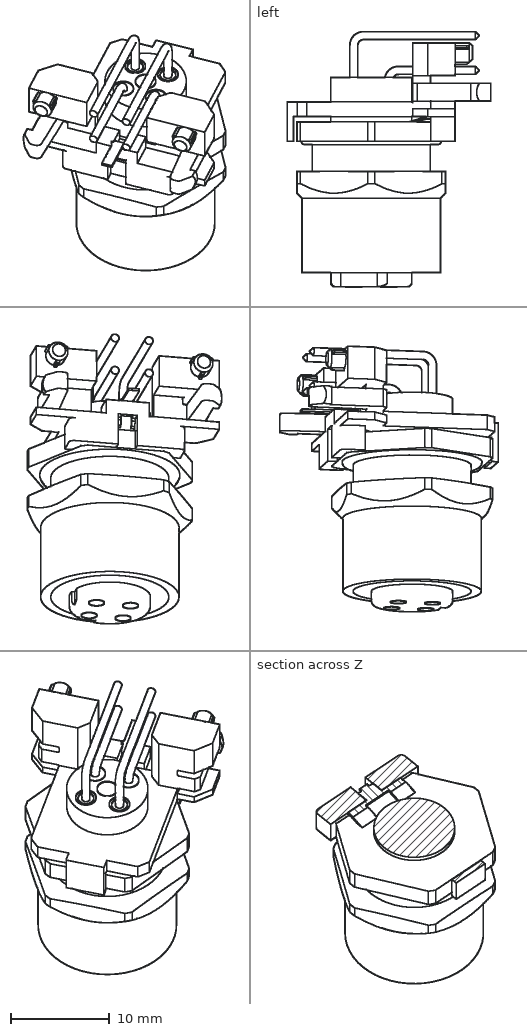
import cadquery as cq
import math


PLUG_BOTTOM = 0.05
SLEEVE_BOTTOM = 1.5
CONE_BOTTOM = 9.03
NUT_TOP = 11.79
COLLAR_BOTTOM = 14.49
FLANGE_BOTTOM = 14.82
FLANGE_TOP = 16.8
PLATE_BOTTOM = 17.32
WING_TOP = 18.12
PLATE_TOP = 18.82
TONGUE_TOP = 19.6
CORE_TOP = 21.31
BLOCK_BOTTOM = 21.5
BLOCK_TOP = 24.82
OVERALL_TOP = 25.95

CORE_RADIUS = 4.13
PLUG_FILLET = 0.47
NECK_RADIUS = 6.0
HEX_HALF_FLATS = 7.55
HEX_CORNER_RADIUS = 8.51
COLLAR_RADIUS = 7.11
KEYWAYS = [(-3.8, -1.64, -0.6), (-0.78, 3.12, CORE_RADIUS)]

PIN_RADIUS = 0.42
PIN_OFFSET = 1.77
PIN_BEND_RADIUS = 0.99
PIN_TIP_Y = -10.98
PIN_UPPER_Z = OVERALL_TOP - PIN_RADIUS
SOCKET_RADIUS = 1.05
CONTACT_RADIUS = 0.8
SOCKET_STEP = 0.1

SLEEVE_RADIUS = 7.04
NUT_FACE_RADIUS = 7.27
NUT_FACE_DROP = 0.08

HALF_WIDTH = 9.5
FRONT_Y = -8.51
STEP_Y = -6.02
WING_BACK_Y = -4.2
PLATE_HALF_WIDTH = 6.23
PLATE_BACK_Y = 7.5
PLATE_CHAMFER = 0.95
TAB_HALF_WIDTH = 2.0
TAB_BACK_Y = 8.55
TAB_THICKNESS = 0.67
BLOCK_INNER_X = 3.25
BLOCK_OUTER_CHAMFER = 1.53
BLOCK_INNER_CHAMFER = 1.0
COLUMN_FILLET = 0.18
APRON_HALF_WIDTH = 6.0
APRON_FILLET = 0.52
TONGUE_HALF_WIDTH = 2.23
SLOT_HALF_WIDTH = 0.99

PEG_X = 7.53
PEG_Z = 23.83
PEG_RADIUS = 0.99
PEG_RIB_RADIUS = 1.2
PEG_RIB_TIP_WIDTH = 0.23
PEG_RIB_ROOT_WIDTH = 1.15
PEG_RIB_CHAMFER = 0.57
PEG_END_Y = -10.28
PEG_CHAMFER = 0.3

LATCH_BOTTOM = 18.9
LATCH_TOP = 20.72
LATCH_ROOT_X = (BLOCK_INNER_X + PLATE_HALF_WIDTH) / 2
LATCH_OUTER_X = 8.51
LATCH_INNER_X = 6.67
LATCH_TIP_INNER_X = 6.98
LATCH_TIP_OUTER_X = 8.07
LATCH_TIP_Y = -12.15
LATCH_TIP_ROUND = 0.5
LATCH_BACK_CHAMFER = 0.47
HOOK_X = 9.3
HOOK_BACK_Y = -10.12
HOOK_FRONT_Y = -10.7
HOOK_CROWN = 0.23

SPRING_THICKNESS = 0.23
SPRING_HALF_WIDTH = 0.55
SPRING_TAIL_Y = -11.45
SPRING_LEG_Y = -7.85
SPRING_BEND = 0.45
SPRING_FOOT_Z = PLATE_BOTTOM - SPRING_THICKNESS
SPRING_BARB_HALF_WIDTH = 0.75
SPRING_BARB_LENGTH = 0.45
SPRING_RAMP_START_Y = -5.58
SPRING_RAMP_END_Y = -4.62
SPRING_ARM_HALF_WIDTH = 3.63
SPRING_ARM_INNER_X = 1.55

GROOVE_HALF_WIDTH = 0.6
GROOVE_FLOOR = 18.43
SLOT_RELIEF = 0.52


def box(x0, x1, y0, y1, z0, z1):
    """Axis-aligned box between two opposite corners."""
    return cq.Workplane("XY").box(x1 - x0, y1 - y0, z1 - z0, centered=False).translate((x0, y0, z0))


def cylinder(radius, z0, z1):
    """Cylinder on the connector axis."""
    return cq.Workplane("XY").workplane(offset=z0).circle(radius).extrude(z1 - z0)


def both_sides(body):
    """A body joined with its mirror image across the YZ plane."""
    return body.union(body.mirror("YZ"))


def hexagon(z0, z1):
    """Hexagonal prism with flats facing -Y and +Y and its corners turned down."""
    across_corners = 2 * HEX_HALF_FLATS / math.cos(math.pi / 6)
    prism = cq.Workplane("XY").workplane(offset=z0).polygon(6, across_corners).extrude(z1 - z0)
    return prism.intersect(cylinder(HEX_CORNER_RADIUS, z0, z1))



def make_pin(x, y, axis_z):
    """Pin rising from the core, bent toward -Y and ending in a point."""
    bend_y = y - PIN_BEND_RADIUS
    bend_z = axis_z - PIN_BEND_RADIUS
    diagonal = PIN_BEND_RADIUS * (1 - math.sqrt(0.5))
    shank_end_y = PIN_TIP_Y + PIN_RADIUS
    root_z = CORE_TOP - 2 * SOCKET_STEP - PIN_BEND_RADIUS
    path = (
        cq.Workplane("YZ", origin=(x, 0, 0))
        .moveTo(y, root_z)
        .lineTo(y, bend_z)
        .threePointArc((y - diagonal, axis_z - diagonal), (bend_y, axis_z))
        .lineTo(shank_end_y, axis_z)
    )
    shank = cq.Workplane("XY", origin=(x, y, root_z)).circle(PIN_RADIUS).sweep(path)
    point = cq.Solid.makeCone(
        PIN_RADIUS, 0, PIN_RADIUS, cq.Vector(x, shank_end_y, axis_z), cq.Vector(0, -1, 0)
    )
    return shank.union(cq.Workplane(obj=point))


def recess(x, y, radius, depth):
    """Cutter for a round recess in the top of the core."""
    return cq.Workplane("XY", origin=(x, y, CORE_TOP - depth)).circle(radius).extrude(depth)


def contact_end(x, y):
    """End of a contact sleeve, standing slightly out of the plug."""
    return cq.Workplane("XY").center(x, y).circle(CONTACT_RADIUS).extrude(SLEEVE_BOTTOM)


def make_connector():
    """Core, plug, threaded neck, hexagonal flange and the four contact pins."""
    core = cylinder(CORE_RADIUS, PLUG_BOTTOM, CORE_TOP).faces("<Z").edges().fillet(PLUG_FILLET)
    for floor_x, y0, y1 in KEYWAYS:
        core = core.cut(box(-CORE_RADIUS, floor_x, y0, y1, PLUG_BOTTOM, SLEEVE_BOTTOM))
    neck = cylinder(NECK_RADIUS, SLEEVE_BOTTOM, FLANGE_BOTTOM)
    collar = cylinder(COLLAR_RADIUS, COLLAR_BOTTOM, FLANGE_TOP)
    collar = collar.faces("<Z").edges().fillet(FLANGE_BOTTOM - COLLAR_BOTTOM)
    body = core.union(neck).union(collar).union(hexagon(FLANGE_BOTTOM, FLANGE_TOP))
    body = body.cut(recess(0, 0, SOCKET_RADIUS, SOCKET_STEP))
    for x in (-PIN_OFFSET, PIN_OFFSET):
        for y in (-PIN_OFFSET, PIN_OFFSET):
            body = body.cut(recess(x, y, SOCKET_RADIUS, SOCKET_STEP))
            body = body.union(contact_end(x, y))
        body = body.cut(recess(x, PIN_OFFSET, CONTACT_RADIUS, 2 * SOCKET_STEP))
        body = body.union(make_pin(x, PIN_OFFSET, PIN_UPPER_Z))
        body = body.union(make_pin(x, -PIN_OFFSET, PIN_UPPER_Z - 2 * PIN_OFFSET))
    return body



def make_nut():
    """Long sleeve below a hexagon that is coned at both ends."""
    cone_top = CONE_BOTTOM + HEX_CORNER_RADIUS - SLEEVE_RADIUS
    turned = (
        cq.Workplane("XZ")
        .moveTo(0, CONE_BOTTOM)
        .lineTo(SLEEVE_RADIUS, CONE_BOTTOM)
        .lineTo(HEX_CORNER_RADIUS, cone_top)
        .lineTo(HEX_CORNER_RADIUS, NUT_TOP - NUT_FACE_DROP)
        .lineTo(NUT_FACE_RADIUS, NUT_TOP)
        .lineTo(0, NUT_TOP)
        .close()
        .revolve()
    )
    head = hexagon(CONE_BOTTOM, NUT_TOP).intersect(turned)
    sleeve = cylinder(SLEEVE_RADIUS, SLEEVE_BOTTOM, CONE_BOTTOM)
    return head.union(sleeve).cut(cylinder(NECK_RADIUS, SLEEVE_BOTTOM, NUT_TOP))



def make_plate():
    """Main plate with chamfered back corners and a tab hanging behind the flange."""
    plate = box(-PLATE_HALF_WIDTH, PLATE_HALF_WIDTH, STEP_Y, PLATE_BACK_Y, PLATE_BOTTOM, PLATE_TOP)
    plate = plate.edges("|Z and >Y").chamfer(PLATE_CHAMFER)
    tab_top = box(-TAB_HALF_WIDTH, TAB_HALF_WIDTH, 0, TAB_BACK_Y, PLATE_BOTTOM, PLATE_TOP)
    hanging_tab = box(
        -TAB_HALF_WIDTH, TAB_HALF_WIDTH, TAB_BACK_Y - TAB_THICKNESS, TAB_BACK_Y, FLANGE_BOTTOM, PLATE_TOP
    )
    return plate.union(tab_top).union(hanging_tab)


def make_wings():
    """Thin cross bar along the front with chamfered outer back corners."""
    wings = box(-HALF_WIDTH, HALF_WIDTH, FRONT_Y, WING_BACK_Y, PLATE_BOTTOM, WING_TOP)
    return wings.edges("|Z and >Y").chamfer(BLOCK_OUTER_CHAMFER)


def make_block():
    """Upper block on the +X side and the column that carries it."""
    block = box(BLOCK_INNER_X, HALF_WIDTH, FRONT_Y, WING_BACK_Y, BLOCK_BOTTOM, BLOCK_TOP)
    block = block.edges("|Z and >Y and >X").chamfer(BLOCK_OUTER_CHAMFER)
    block = block.edges("|Z and >Y and <X").chamfer(BLOCK_INNER_CHAMFER)
    column = box(BLOCK_INNER_X, PLATE_HALF_WIDTH, STEP_Y, WING_BACK_Y, WING_TOP, BLOCK_BOTTOM)
    column = column.edges("|Z and >Y and <X").chamfer(BLOCK_INNER_CHAMFER)
    return block.union(column)


def make_peg():
    """Chamfered peg on the +X block with three crush ribs."""
    length = FRONT_Y - PEG_END_Y
    plane = cq.Workplane("XZ", origin=(PEG_X, FRONT_Y, PEG_Z))
    peg = plane.circle(PEG_RADIUS).extrude(length).faces("<Y").chamfer(PEG_CHAMFER)
    envelope = plane.circle(PEG_RIB_RADIUS).extrude(length).faces("<Y").chamfer(PEG_RIB_CHAMFER)
    for angle in (30, 150, 270):
        rib = (
            plane.transformed(rotate=(0, 0, angle))
            .polyline([
                (0, -PEG_RIB_ROOT_WIDTH / 2),
                (PEG_RIB_RADIUS, -PEG_RIB_TIP_WIDTH / 2),
                (PEG_RIB_RADIUS, PEG_RIB_TIP_WIDTH / 2),
                (0, PEG_RIB_ROOT_WIDTH / 2),
            ])
            .close()
            .extrude(length)
        )
        peg = peg.union(rib.intersect(envelope))
    return peg


def make_latch():
    """Latch arm on the +X side, running forward from the column to an outward hook."""
    height = LATCH_TOP - LATCH_BOTTOM
    arm = (
        cq.Workplane("XY", origin=(0, 0, LATCH_BOTTOM))
        .moveTo(LATCH_ROOT_X, WING_BACK_Y)
        .lineTo(LATCH_OUTER_X - LATCH_BACK_CHAMFER, WING_BACK_Y)
        .lineTo(LATCH_OUTER_X, WING_BACK_Y - LATCH_BACK_CHAMFER)
        .lineTo(LATCH_OUTER_X, HOOK_BACK_Y)
        .lineTo(HOOK_X, HOOK_BACK_Y)
        .lineTo(HOOK_X, HOOK_FRONT_Y)
        .lineTo(LATCH_TIP_OUTER_X, LATCH_TIP_Y)
        .lineTo(LATCH_TIP_INNER_X, LATCH_TIP_Y)
        .lineTo(LATCH_INNER_X, STEP_Y)
        .lineTo(LATCH_ROOT_X, STEP_Y)
        .close()
        .extrude(height)
        .edges("|Z and <Y")
        .fillet(LATCH_TIP_ROUND)
    )
    crown = (
        cq.Workplane("XZ", origin=(0, WING_BACK_Y, 0))
        .moveTo(0, LATCH_BOTTOM)
        .lineTo(HOOK_X - HOOK_CROWN, LATCH_BOTTOM)
        .threePointArc((HOOK_X, LATCH_BOTTOM + height / 2), (HOOK_X - HOOK_CROWN, LATCH_TOP))
        .lineTo(0, LATCH_TOP)
        .close()
        .extrude(WING_BACK_Y - LATCH_TIP_Y)
    )
    return arm.intersect(crown)


def make_side():
    """Block, column, latch and peg of the +X side, with the inner corners rounded."""
    side = make_block().union(make_latch())
    corner = cq.selectors.BoxSelector(
        (PLATE_HALF_WIDTH - COLUMN_FILLET, FRONT_Y, WING_TOP + COLUMN_FILLET),
        (PLATE_HALF_WIDTH + COLUMN_FILLET, 0, BLOCK_BOTTOM + COLUMN_FILLET),
    )
    return side.edges("|Y").edges(corner).fillet(COLUMN_FILLET).union(make_peg())


def make_spring_seat():
    """Cutter for the front slot, its sloped back edge, and the passage for the spring leg."""
    leg_back_y = SPRING_LEG_Y + SPRING_THICKNESS
    leg_front_y = leg_back_y - SPRING_BEND
    low_slot = box(-SLOT_HALF_WIDTH, SLOT_HALF_WIDTH, FRONT_Y, STEP_Y, FLANGE_BOTTOM, PLATE_BOTTOM)
    high_slot = (
        cq.Workplane("YZ", origin=(-SLOT_HALF_WIDTH, 0, 0))
        .moveTo(FRONT_Y, PLATE_BOTTOM)
        .lineTo(leg_back_y + SLOT_RELIEF, PLATE_BOTTOM)
        .lineTo(leg_back_y, PLATE_BOTTOM + SLOT_RELIEF)
        .lineTo(leg_back_y, WING_TOP)
        .lineTo(FRONT_Y, WING_TOP)
        .close()
        .extrude(2 * SLOT_HALF_WIDTH)
    )
    leg_slot = box(-GROOVE_HALF_WIDTH, GROOVE_HALF_WIDTH, leg_front_y, leg_back_y, WING_TOP, TONGUE_TOP)
    groove = box(-GROOVE_HALF_WIDTH, GROOVE_HALF_WIDTH, leg_back_y, STEP_Y, GROOVE_FLOOR, TONGUE_TOP)
    return low_slot.union(high_slot).union(leg_slot).union(groove)


def make_carrier():
    """Snap-in carrier with a pocket that fits the core, the flange and the spring."""
    apron = box(-APRON_HALF_WIDTH, APRON_HALF_WIDTH, FRONT_Y, STEP_Y, FLANGE_BOTTOM, PLATE_BOTTOM)
    apron = apron.edges("|Z and <Y").fillet(APRON_FILLET)
    tongue = box(-TONGUE_HALF_WIDTH, TONGUE_HALF_WIDTH, FRONT_Y, STEP_Y, PLATE_BOTTOM, TONGUE_TOP)
    carrier = make_plate().union(make_wings()).union(apron).union(tongue)
    carrier = carrier.union(both_sides(make_side()))
    carrier = carrier.cut(cylinder(CORE_RADIUS, FLANGE_BOTTOM, CORE_TOP))
    carrier = carrier.cut(hexagon(FLANGE_BOTTOM, FLANGE_TOP))
    return carrier.cut(make_spring_seat())



def make_spring():
    """Bent strip: solder tail, leg down through the tongue, foot and ramp onto the flange."""
    inner_bend = SPRING_BEND - SPRING_THICKNESS
    slope = (SPRING_FOOT_Z - FLANGE_TOP) / (SPRING_RAMP_END_Y - SPRING_RAMP_START_Y)
    ramp_top_y = SPRING_RAMP_END_Y + SPRING_THICKNESS / slope
    leg_back_y = SPRING_LEG_Y + SPRING_THICKNESS
    tail_top = TONGUE_TOP + SPRING_THICKNESS
    foot_top = SPRING_FOOT_Z + SPRING_THICKNESS
    strip = (
        cq.Workplane("YZ", origin=(-SPRING_HALF_WIDTH, 0, 0))
        .moveTo(SPRING_TAIL_Y, TONGUE_TOP)
        .lineTo(SPRING_LEG_Y - inner_bend, TONGUE_TOP)
        .radiusArc((SPRING_LEG_Y, TONGUE_TOP - inner_bend), inner_bend)
        .lineTo(SPRING_LEG_Y, SPRING_FOOT_Z + SPRING_BEND)
        .radiusArc((SPRING_LEG_Y + SPRING_BEND, SPRING_FOOT_Z), -SPRING_BEND)
        .lineTo(SPRING_RAMP_START_Y, SPRING_FOOT_Z)
        .lineTo(SPRING_RAMP_START_Y, foot_top)
        .lineTo(leg_back_y + inner_bend, foot_top)
        .radiusArc((leg_back_y, foot_top + inner_bend), inner_bend)
        .lineTo(leg_back_y, tail_top - SPRING_BEND)
        .radiusArc((leg_back_y - SPRING_BEND, tail_top), -SPRING_BEND)
        .lineTo(SPRING_TAIL_Y, tail_top)
        .close()
        .extrude(2 * SPRING_HALF_WIDTH)
    )
    ramp = (
        cq.Workplane("YZ", origin=(-SPRING_ARM_HALF_WIDTH, 0, 0))
        .polyline([
            (SPRING_LEG_Y + SPRING_BEND, SPRING_FOOT_Z),
            (SPRING_RAMP_START_Y, SPRING_FOOT_Z),
            (SPRING_RAMP_END_Y, FLANGE_TOP),
            (ramp_top_y, FLANGE_TOP),
            (SPRING_RAMP_START_Y, foot_top),
            (SPRING_LEG_Y + SPRING_BEND, foot_top),
        ])
        .close()
        .extrude(2 * SPRING_ARM_HALF_WIDTH)
    )
    foot = box(-SLOT_HALF_WIDTH, SLOT_HALF_WIDTH, FRONT_Y, SPRING_RAMP_START_Y, FLANGE_TOP, PLATE_BOTTOM)
    arms = box(-SPRING_ARM_HALF_WIDTH, SPRING_ARM_HALF_WIDTH, STEP_Y, 0, FLANGE_TOP, PLATE_BOTTOM)
    gap = box(-SPRING_ARM_INNER_X, SPRING_ARM_INNER_X, SPRING_RAMP_START_Y, 0, FLANGE_TOP, PLATE_BOTTOM)
    ramp = ramp.intersect(foot.union(arms)).cut(gap).cut(cylinder(CORE_RADIUS, FLANGE_TOP, CORE_TOP))
    barb_y = SPRING_LEG_Y - inner_bend
    barbs = (
        cq.Workplane("XY", origin=(0, 0, TONGUE_TOP))
        .polyline([
            (-SPRING_BARB_HALF_WIDTH, barb_y),
            (SPRING_BARB_HALF_WIDTH, barb_y),
            (SPRING_HALF_WIDTH, barb_y - SPRING_BARB_LENGTH),
            (-SPRING_HALF_WIDTH, barb_y - SPRING_BARB_LENGTH),
        ])
        .close()
        .extrude(SPRING_THICKNESS)
    )
    return strip.union(ramp).union(barbs)


connector = make_connector()
nut = make_nut()
carrier = make_carrier()
spring = make_spring()

bodies = [connector, nut, carrier, spring]
result = cq.Compound.makeCompound([body.solids().val() for body in bodies])